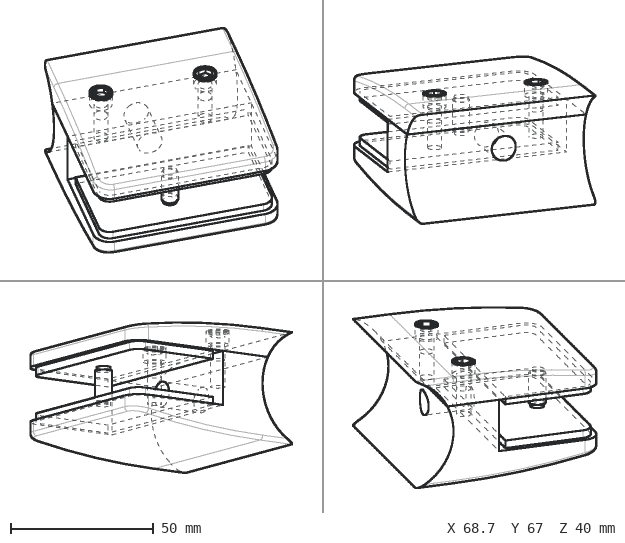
import cadquery as cq
import math


half_height = 20.0
width = 67.0
tip_x = -13.66
end_x = 55.0
crown_radius = 300.0
corner_radius = 6.0
edge_fillet = 1.5

saddle_radius = (half_height**2 + tip_x**2) / (2 * abs(tip_x))

slot_x = 17.0
slot_half = 9.65

pad_start_x = 20.0
pad_margin = 2.0
pad_thickness = 2.85
pad_face = slot_half - pad_thickness

pin_x = 42.0
pin_y = -3.5
pin_diameter = 6.0
pin_neck_diameter = 4.9
pin_shoulder = 5.5
wall_hole_diameter = 9.0

screw_x = 9.0
screw_spacing = 38.0
head_diameter = 8.0
head_height = 5.0
head_chamfer = 0.65
head_top = half_height
shank_diameter = 5.0
shank_end = 0.0
hex_across_corners = 5.4
hex_depth = 2.0
hex_turn = 18.5


def crown_height(x):
    """Height of the outer jaw face above the mid plane, for x from 0 to the open end."""
    return half_height - crown_radius + math.sqrt(crown_radius**2 - x**2)


def clamp_body():
    """Block and lid in one piece, without screw holes."""
    middle_x = end_x / 2
    body = (
        cq.Workplane("XZ")
        .moveTo(tip_x, half_height)
        .lineTo(0, half_height)
        .threePointArc((middle_x, crown_height(middle_x)), (end_x, crown_height(end_x)))
        .lineTo(end_x, -crown_height(end_x))
        .threePointArc((middle_x, -crown_height(middle_x)), (0, -half_height))
        .lineTo(tip_x, -half_height)
        .close()
        .extrude(width / 2, both=True)
    )
    body = body.edges("|Z and >X").fillet(corner_radius)
    body = body.edges("(not(|Y or |Z)) or (|Y and >X)").fillet(edge_fillet)

    saddle = (
        cq.Workplane("XZ")
        .center(-saddle_radius, 0)
        .circle(saddle_radius)
        .extrude(width, both=True)
    )
    slot = cq.Workplane("XY", origin=(slot_x, 0, 0)).box(
        end_x, 2 * width, 2 * slot_half, centered=(False, True, True)
    )
    wall_hole = (
        cq.Workplane("YZ", origin=(tip_x, pin_y, 0))
        .circle(wall_hole_diameter / 2)
        .extrude(slot_x - tip_x)
    )
    return body.cut(saddle).cut(slot).cut(wall_hole)


def screw_blank(y):
    """Cap screw without edge chamfer or socket; it also serves as the cutter for its hole."""
    head = (
        cq.Workplane("XY", origin=(screw_x, y, head_top - head_height))
        .circle(head_diameter / 2)
        .extrude(head_height)
    )
    shank = (
        cq.Workplane("XY", origin=(screw_x, y, shank_end))
        .circle(shank_diameter / 2)
        .extrude(head_top - head_height - shank_end)
    )
    return head.union(shank)


def make_screw(y, turn):
    """Cap screw with a chamfered head and a hexagon socket."""
    socket = (
        cq.Workplane("XY", origin=(screw_x, y, head_top - hex_depth))
        .transformed(rotate=(0, 0, turn))
        .polygon(6, hex_across_corners)
        .extrude(hex_depth)
    )
    return screw_blank(y).faces(">Z").edges().chamfer(head_chamfer).cut(socket)


def make_pad(bottom_z):
    """Flat pad with rounded corners at the open end, concentric with the jaw corners."""
    return (
        cq.Workplane("XY", origin=(pad_start_x, 0, bottom_z))
        .box(
            end_x - pad_margin - pad_start_x,
            width - 2 * pad_margin,
            pad_thickness,
            centered=(False, True, False),
        )
        .edges("|Z and >X")
        .fillet(corner_radius - pad_margin)
    )


def make_pin():
    """Safety pin standing between the pads, with a thinner neck at each end."""
    middle = (
        cq.Workplane("XY", origin=(pin_x, pin_y, -pin_shoulder))
        .circle(pin_diameter / 2)
        .extrude(2 * pin_shoulder)
    )
    necks = (
        cq.Workplane("XY", origin=(pin_x, pin_y, -pad_face))
        .circle(pin_neck_diameter / 2)
        .extrude(2 * pad_face)
    )
    return middle.union(necks)


body = clamp_body()
screws = []
for side in (-1, 1):
    screw_y = side * screw_spacing / 2
    body = body.cut(screw_blank(screw_y))
    screws.append(make_screw(screw_y, -side * hex_turn).val())

upper_space = cq.Workplane("XY", origin=(0, 0, slot_half)).box(
    4 * end_x, 2 * width, half_height, centered=(True, True, False)
)
block = body.cut(upper_space).solids()
lid = body.intersect(upper_space).solids()

pads = [make_pad(bottom_z).val() for bottom_z in (-slot_half, pad_face)]
pin = make_pin()

result = cq.Compound.makeCompound([block.val(), lid.val(), *screws, *pads, pin.val()])